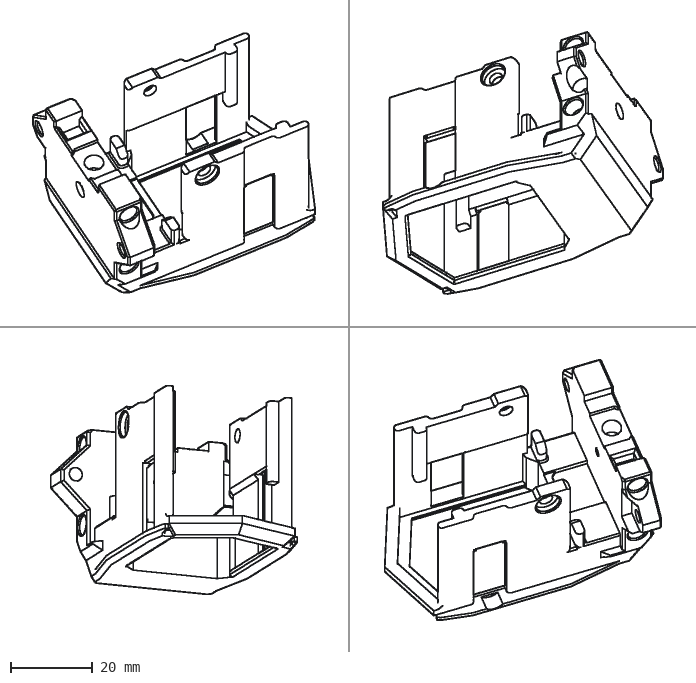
import cadquery as cq
import math

wall_outer_x = 16.65
arm_inner_x = 13.45
arm_thin_x = 14.75
arm_front_y = 21.2
arm_rear_y = 55.6
arm_top_z = 37.65
arm_step_z = 22.35
edge_radius = 1.0

ring_top_z = 2.3
ring_ledge_z = 1.5
ring_chamfer = 1.15
ring_half_width = 19.15
apex_y = 63.8
chevron_side_y = 57.05
chevron_top_z = 4.3
chevron_chamfer = 2.3
rim_width_y = 3.3

plate_front_y = 0.7
plate_rear_y = 8.35
plate_half_width = 18.5
plate_bottom_z = 7.85
wing_half_width = 50.85 / 2
plate_front_chamfer = 0.45
plate_rear_chamfer = 0.65
ledge_z = 35.3
groove_z = 34.25
screw_z = 26.0
magnet_d = 4.7
screw_hole_d = 3.4
magnet_y = 4.5

bumper_top_z = 10.9
slope_top_z = 6.05
slope_bottom_y = 4.4
corner_top_x = 17.55
corner_x = 14.75
corner_slope = 1.27

block_rear_y = 19.65
block_top_z = 13.2

far = 95.7

rib_bottom_z = plate_bottom_z - (plate_half_width - wall_outer_x)


def prism_z(points, bottom, top):
    """Plan outline (x, y) raised from bottom to top."""
    return cq.Workplane("XY").workplane(offset=bottom).polyline(points).close().extrude(top - bottom)


def prism_y(points, front, rear):
    """Outline (x, z) drawn out from front to rear."""
    return cq.Workplane("XZ", origin=(0, front, 0)).polyline(points).close().extrude(front - rear)


def prism_x(points, half_width):
    """Side outline (y, z) drawn out equally to both sides of the middle."""
    return cq.Workplane("YZ").polyline(points).close().extrude(half_width, both=True)


def box(x_range, y_range, z_range):
    """Box given by its limits on each axis."""
    (x0, x1), (y0, y1), (z0, z1) = x_range, y_range, z_range
    return cq.Workplane("XY").box(x1 - x0, y1 - y0, z1 - z0, centered=False).translate((x0, y0, z0))


def cylinder(start, direction, diameter, depth):
    """Round cutter from a start point along a direction."""
    return cq.Workplane(cq.Solid.makeCylinder(diameter / 2, depth, cq.Vector(*start), cq.Vector(*direction)))


def flared_hole(start, direction, diameter, mouth_d, depth):
    """Round cutter with a 45 degree flare at its mouth."""
    flare = cq.Solid.makeCone(
        mouth_d / 2, diameter / 2, (mouth_d - diameter) / 2, cq.Vector(*start), cq.Vector(*direction)
    )
    return cylinder(start, direction, diameter, depth).union(cq.Workplane(flare))


def mirrored_outline(right_points):
    """Close a right-hand outline with its mirror image on the left."""
    return right_points + [(-x, v) for x, v in reversed(right_points) if x]


def both_sides(shape):
    """A right-hand shape together with its mirror image."""
    return shape.union(shape.mirror("YZ"))


def chamfered_base(points, top, chamfer):
    """Plan outline raised from the ground, its lower edge chamfered at 45 degrees."""
    upper = prism_z(points, chamfer, top)
    skirt = cq.Workplane("XY").workplane(offset=chamfer).polyline(points).close().extrude(-chamfer, taper=45)
    return upper.union(skirt)


def make_base():
    ring_front_y = 5.1
    ring_front_x = 16.0
    ring_rear_y = 56.5
    nose_front_y = 38.3
    chevron_run = 2.5
    chevron_rise = apex_y - chevron_side_y

    ring = chamfered_base(
        mirrored_outline([
            (ring_front_x, ring_front_y),
            (ring_half_width, 22.2),
            (ring_half_width, 47.7),
            (17.8, 55.65),
            (17.4, ring_rear_y),
            (wall_outer_x, ring_rear_y),
            (wall_outer_x, chevron_side_y - chevron_run),
            (0, apex_y - chevron_run),
        ]),
        ring_top_z,
        ring_chamfer,
    )
    nose = chamfered_base(
        mirrored_outline([(wall_outer_x, nose_front_y), (wall_outer_x, chevron_side_y), (0, apex_y)]),
        chevron_top_z,
        chevron_chamfer,
    )
    behind_rim = prism_z(
        mirrored_outline([
            (wall_outer_x, nose_front_y),
            (wall_outer_x, chevron_side_y - rim_width_y),
            (0, apex_y - rim_width_y),
        ]),
        ring_top_z,
        chevron_top_z,
    )

    opening_front_y = 15.95
    opening_rear_y = 57.3

    def opening(half_width, rear_y):
        corner_y = rear_y - half_width * chevron_rise / wall_outer_x
        return mirrored_outline([(half_width, opening_front_y), (half_width, corner_y), (0, rear_y)])

    inner = opening(arm_inner_x, opening_rear_y)
    inner_bevel = 0.65
    bevel_sketch = cq.Workplane("XY").workplane(offset=inner_bevel).polyline(inner).close()
    flare = bevel_sketch.extrude(-inner_bevel, taper=-45)
    base = ring.union(nose.cut(behind_rim))
    base = base.cut(prism_z(opening(arm_thin_x, apex_y - rim_width_y), ring_ledge_z, chevron_top_z))
    return base.cut(prism_z(inner, 0, ring_ledge_z)).cut(flare)


def make_arm():
    tail_edge_radius = 0.9
    lug_x = 12.4
    lug_y = (48.0, 51.2)
    lug_bottom_z = 17.2
    raised_top_z = 38.6
    raised_front_y = 22.3
    raised_rear_y = 29.2
    raise_height = raised_top_z - arm_top_z

    arm = prism_x(
        [
            (arm_front_y, ring_ledge_z),
            (arm_front_y, raised_top_z),
            (raised_rear_y, raised_top_z),
            (raised_rear_y + raise_height, arm_top_z),
            (arm_rear_y, arm_top_z),
            (arm_rear_y, ring_ledge_z),
        ],
        wall_outer_x,
    ).cut(box((-far, arm_inner_x), (0, far), (0, far)))
    arm = arm.edges("|Z and <Y").fillet(edge_radius)
    arm = arm.cut(
        prism_x([(arm_front_y, arm_top_z), (raised_front_y, raised_top_z), (arm_front_y, raised_top_z)], far)
    )
    setback = arm_thin_x - arm_inner_x
    arm = arm.cut(
        prism_y(
            [
                (arm_inner_x, ring_ledge_z),
                (arm_thin_x, ring_ledge_z),
                (arm_thin_x, arm_step_z - setback),
                (arm_inner_x, arm_step_z),
            ],
            arm_front_y,
            arm_rear_y,
        )
    )
    arm = arm.cut(box((arm_inner_x, arm_thin_x), (lug_y[1], far), (ring_ledge_z, far)))
    arm = arm.edges("|Z and >Y").fillet(tail_edge_radius)
    lug = box((lug_x, arm_thin_x), lug_y, (lug_bottom_z, arm_top_z)).edges("|Z and <X").fillet(edge_radius)
    arm = arm.union(lug)

    tail_radius = (wall_outer_x - arm_thin_x) / 2
    foot_radius = 1.15
    reach = tail_radius + foot_radius
    bend = foot_radius * (1 - math.sqrt(0.5))
    foot = (
        cq.Workplane("XZ", origin=(arm_thin_x + tail_radius, arm_rear_y - tail_radius, chevron_top_z))
        .lineTo(reach, 0)
        .threePointArc((tail_radius + bend, bend), (tail_radius, foot_radius))
        .lineTo(0, foot_radius)
        .close()
        .revolve(360, (0, 0, 0), (0, 1, 0))
    )
    rim_slope = (apex_y - chevron_side_y) / wall_outer_x
    rim_inner_y = chevron_side_y - rim_width_y
    rim_patch = prism_z(
        [
            (wall_outer_x, rim_inner_y),
            (wall_outer_x, chevron_side_y),
            (wall_outer_x - 2 * reach, chevron_side_y + 2 * reach * rim_slope),
            (wall_outer_x - 2 * reach, rim_inner_y + 2 * reach * rim_slope),
        ],
        chevron_top_z,
        chevron_top_z + foot_radius,
    )
    arm = arm.union(foot.intersect(rim_patch))

    recess_x = 15.4
    recess_y = (36.8, 47.35)
    ramp_x = (wall_outer_x - recess_x) / 2
    ramp_y = 0.9
    ramp_radius = (ramp_x**2 + ramp_y**2) / (2 * ramp_x)
    recess = (
        cq.Workplane("XY").workplane(offset=ring_top_z)
        .moveTo(wall_outer_x, recess_y[0])
        .radiusArc((wall_outer_x - ramp_x, recess_y[0] + ramp_y), -ramp_radius)
        .radiusArc((recess_x, recess_y[0] + 2 * ramp_y), ramp_radius)
        .lineTo(recess_x, recess_y[1] - 2 * ramp_y)
        .radiusArc((wall_outer_x - ramp_x, recess_y[1] - ramp_y), ramp_radius)
        .radiusArc((wall_outer_x, recess_y[1]), -ramp_radius)
        .close()
        .extrude(arm_top_z - ring_top_z)
    )
    window_y = (37.8, 46.3)
    lintel_bevel = 0.5
    window = box((0, far), window_y, (ring_top_z, arm_step_z))
    lintel = prism_y(
        [
            (recess_x, arm_step_z + lintel_bevel),
            (recess_x - lintel_bevel, arm_step_z),
            (recess_x, arm_step_z),
        ],
        *window_y,
    )
    arm = arm.cut(recess).cut(window).cut(lintel)

    screw_y = 27.2
    screw_axis_z = 34.6
    counterbore_depth = 1.6
    counterbore_d = 6.05
    counterbore_mouth_d = 6.7
    outside = (wall_outer_x, screw_y, screw_axis_z)
    inward = (-1, 0, 0)
    arm = arm.cut(cylinder(outside, inward, screw_hole_d, far))
    return arm.cut(flared_hole(outside, inward, counterbore_d, counterbore_mouth_d, counterbore_depth))


def lower_outline():
    """Right-hand plate edge from the ground up to where the plate is full width."""
    return [
        (wall_outer_x, 0),
        (wall_outer_x, rib_bottom_z),
        (plate_half_width, plate_bottom_z),
    ]


def make_plate():
    wing = [
        (plate_half_width, 17.2),
        (wing_half_width, 23.85),
        (wing_half_width, 27.05),
        (plate_half_width, 33.8),
    ]
    right = lower_outline() + wing + [(plate_half_width, arm_top_z)]
    plate = prism_y(mirrored_outline(right), plate_front_y, plate_rear_y)
    plate = plate.faces("<Y").edges().chamfer(plate_front_chamfer)
    plate = plate.faces(">Z").edges("|Y").chamfer(plate_front_chamfer)
    plate = plate.faces(">Y").edges("not #Z").chamfer(plate_rear_chamfer)

    left_tower_x = -13.45
    right_tower_x = 9.2
    bevel = plate_front_chamfer
    bevel_y = plate_front_y + bevel
    ledge = prism_z(
        [
            (left_tower_x - bevel, plate_front_y),
            (left_tower_x, bevel_y),
            (left_tower_x, far),
            (right_tower_x, far),
            (right_tower_x, bevel_y),
            (right_tower_x + bevel, plate_front_y),
        ],
        ledge_z,
        far,
    )
    ledge_bevel = prism_x(
        [(plate_front_y, ledge_z - bevel), (bevel_y, ledge_z), (plate_front_y, ledge_z)], far
    ).intersect(box((left_tower_x, right_tower_x), (0, far), (0, far)))
    groove_x = 5.3
    lip = 0.65
    lip_y = 1.3
    groove_mouth_x = groove_x - lip
    groove = prism_z(
        mirrored_outline([
            (groove_mouth_x, 0),
            (groove_mouth_x, lip_y),
            (groove_x, lip_y + lip),
            (groove_x, far),
        ]),
        groove_z,
        far,
    )
    plate = plate.cut(ledge).cut(ledge_bevel).cut(groove)

    rim = 0.75
    pocket_x = (left_tower_x, -9.2)
    pocket_y = (2.1, 7.45)
    pocket_depth = 3.2
    pocket = box(pocket_x, pocket_y, (ledge_z - pocket_depth, ledge_z))
    mouth = (
        cq.Workplane("XY", origin=(sum(pocket_x) / 2, sum(pocket_y) / 2, ledge_z))
        .rect(pocket_x[1] - pocket_x[0] + 2 * rim, pocket_y[1] - pocket_y[0] + 2 * rim)
        .extrude(-rim, taper=45)
        .intersect(box((left_tower_x, 0), (0, far), (0, far)))
    )
    return plate.cut(pocket).cut(mouth)


def cut_plate_details(body):
    wing_screw_x = 21.7
    middle_hole_d = 2.1
    countersink_d = 4.15
    front = plate_front_y
    rearward = (0, 1, 0)
    for x, hole_d in [(-wing_screw_x, screw_hole_d), (0, middle_hole_d), (wing_screw_x, screw_hole_d)]:
        body = body.cut(flared_hole((x, front, screw_z), rearward, hole_d, countersink_d, far))

    flank_depth = 4.0
    middle_depth = 5.0
    flank_z = (14.3, 34.2)
    mouth_d = 5.4
    for side in (-1, 1):
        for z in flank_z:
            start = (side * plate_half_width, magnet_y, z)
            body = body.cut(flared_hole(start, (-side, 0, 0), magnet_d, mouth_d, flank_depth))
            body = body.cut(cylinder(start, (side, 0, 0), mouth_d, far))
    body = body.cut(cylinder((0, magnet_y, groove_z), (0, 0, -1), magnet_d, middle_depth))

    groove_y = 2.3
    groove_axis_z = 20.1
    notch_front_y = 5.7
    notch_wall_x = -17.5
    notch_z = 21.9
    ceiling_z = 30.4
    ceiling_rear_z = ceiling_z + plate_rear_y - notch_front_y
    notch = prism_x(
        [
            (notch_front_y, notch_z),
            (notch_front_y, ceiling_z),
            (plate_rear_y, ceiling_rear_z),
            (plate_rear_y, notch_z),
        ],
        far,
    ).intersect(box((-far, notch_wall_x), (0, far), (0, far)))
    groove = cylinder((-plate_half_width, groove_y, groove_axis_z), (-1, 0, 0), magnet_d, far)
    return body.cut(notch).cut(groove)


def corner_cut():
    """Right-hand cutter that bevels the front corner, leaning with the faces beside it."""
    reach = 12.75

    def section(x, y):
        return [(x, y), (x + reach, y + reach * corner_slope), (x + reach, y - reach), (x, y - reach)]

    def stage(lower, lower_z, upper, upper_z):
        sketch = cq.Workplane("XY").workplane(offset=lower_z).polyline(section(*lower)).close()
        return sketch.workplane(offset=upper_z - lower_z).polyline(section(*upper)).close().loft(ruled=True)

    below = stage((corner_x, slope_bottom_y), 0, (corner_x, 0), slope_top_z)
    above = stage((corner_x, 0), slope_top_z, (corner_top_x, 0), bumper_top_z)
    return below.union(above)


def make_bumper():
    right = lower_outline() + [(plate_half_width, bumper_top_z)]
    return prism_y(mirrored_outline(right), 0, plate_rear_y - plate_rear_chamfer)


def make_block():
    """Floor block joining the arms behind the plate, with gussets, upright tabs and flank ribs."""
    block_chamfer = 0.45
    block = box((-wall_outer_x, wall_outer_x), (slope_bottom_y + 0.65, block_rear_y), (0, block_top_z))
    block = block.edges("|Y and >Z").chamfer(block_chamfer)

    panel_x = (-6.1, 7.2)
    panel_rear_y = 17.9
    panel_corner = 1.2
    step_depth = 0.65
    step = box(panel_x, (plate_rear_y, block_rear_y), (block_top_z - step_depth, block_top_z))
    panel = prism_z(
        [
            (panel_x[0], plate_rear_y),
            (panel_x[1], plate_rear_y),
            (panel_x[1], panel_rear_y - panel_corner),
            (panel_x[1] - panel_corner, panel_rear_y),
            (panel_x[0], panel_rear_y),
        ],
        block_top_z - 2 * step_depth,
        block_top_z,
    )
    block = block.cut(step).cut(panel)

    gusset_chamfer = 0.5
    gusset_x = 11.1
    gusset_top_z = 12.75
    gusset_rear_y = block_rear_y + arm_inner_x - gusset_x
    gusset = prism_z(
        [
            (gusset_x, block_rear_y),
            (arm_inner_x, gusset_rear_y),
            (wall_outer_x, gusset_rear_y + edge_radius),
            (wall_outer_x, block_rear_y),
        ],
        0,
        gusset_top_z,
    )
    gusset = gusset.edges(">Z and >X").chamfer(gusset_chamfer)

    tab_y = (17.4, 19.8)
    tab_inner_x = 10.7
    tab_overlap = 0.65
    tab_chamfer = 0.6
    tab_fillet = 0.75
    tab_slope_x = 12.9
    tab_top_z = 18.3
    tab_low_z = tab_top_z - (tab_slope_x - tab_inner_x)
    tab = prism_y(
        [
            (wall_outer_x, block_top_z - tab_overlap),
            (wall_outer_x, tab_top_z),
            (tab_slope_x, tab_top_z),
            (tab_inner_x, tab_low_z),
            (tab_inner_x, block_top_z - tab_overlap),
        ],
        *tab_y,
    )
    tab = tab.edges("|Z and >X and >Y").fillet(edge_radius)
    tab = tab.edges("|Z and >X and <Y").chamfer(tab_chamfer)
    tab = tab.edges("|Z and <X").fillet(tab_fillet)
    foot = 0.45
    tab_foot = box(
        (tab_inner_x - foot, wall_outer_x - foot),
        (tab_y[0] - foot, tab_y[1] + foot),
        (block_top_z - foot, block_top_z + foot),
    )
    tab_foot = tab_foot.edges("|Z and <X").fillet(tab_fillet + foot).faces(">Z").edges().chamfer(foot)
    tab = tab.union(tab_foot.intersect(box((0, far), (0, block_rear_y), (0, far))))

    rib_top_z = 8.4
    rib_rear_y = 13.45
    rib_width = plate_half_width - wall_outer_x
    rib = prism_z(
        [
            (wall_outer_x, magnet_y),
            (plate_half_width, magnet_y),
            (plate_half_width, rib_rear_y - rib_width),
            (wall_outer_x, rib_rear_y),
        ],
        rib_bottom_z,
        rib_top_z,
    )
    rib = rib.cut(
        prism_y(
            [
                (wall_outer_x, rib_bottom_z),
                (plate_half_width, rib_bottom_z),
                (plate_half_width, plate_bottom_z),
            ],
            0,
            rib_rear_y,
        )
    )
    return block.union(both_sides(gusset.union(tab).union(rib)))


def bottom_bevel():
    """Right-hand cutter for the lower edge of the bumper flank."""
    return prism_y(
        [(wall_outer_x, ring_chamfer), (wall_outer_x - ring_chamfer, 0), (wall_outer_x, 0)], 0, block_rear_y
    )


front_slope = prism_x([(0, 0), (slope_bottom_y, 0), (0, slope_top_z)], wing_half_width)
front_body = make_bumper().union(make_block()).union(make_plate()).cut(front_slope)
front_body = front_body.cut(both_sides(corner_cut())).cut(both_sides(bottom_bevel()))
front_body = cut_plate_details(front_body)

notch_d = 6.0
notch_y = 42.05
notch_bottom_z = 1.4
notch_inner_x = -15.4
notch_centre = (notch_inner_x, notch_y, notch_bottom_z + notch_d / 2)
flange_notch = cylinder(notch_centre, (-1, 0, 0), notch_d, far)

result = make_base().union(both_sides(make_arm())).union(front_body).cut(flange_notch)